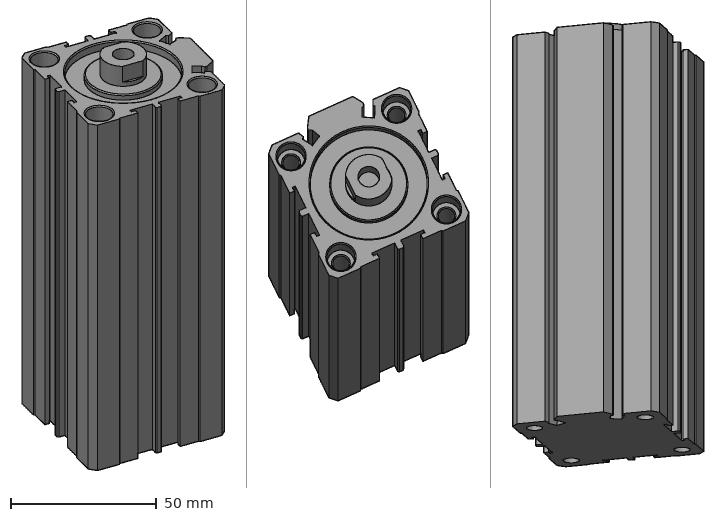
import cadquery as cq

TOTAL_HEIGHT = 146.5
HOUSING_HEIGHT = 139.5

HOUSING_WIDTH = 53.0
HALF_WIDTH = HOUSING_WIDTH / 2
CORNER_CHAMFER = 2.3

RAIL_TOP_Y = 30.5
RAIL_TOP_HALF_WIDTH = 8.4
RAIL_LIP_HALF_WIDTH = 10.5
RAIL_HALF_OUTLINE = [
    (14.0, HALF_WIDTH),
    (13.2, 24.6),
    (13.8, 24.0),
    (11.7, 20.4),
    (8.0, 22.4),
    (9.4, 25.3),
    (RAIL_LIP_HALF_WIDTH, 26.1),
    (RAIL_LIP_HALF_WIDTH, 27.0),
    (RAIL_TOP_HALF_WIDTH, RAIL_TOP_Y),
]

RELIEF_DEPTH = 0.5
RELIEF_FLOOR_WIDTH = 30.5
RELIEF_MOUTH_WIDTH = 31.4
SLOT_DEPTH = 3.2
SLOT_OPENING_WIDTH = 16.4
SLOT_UNDERCUT_WIDTH = 19.5
SLOT_UNDERCUT_HEIGHT = 1.0
SLOT_RIB_WIDTH = 2.3
SLOT_RIB_TIP_CHAMFER = 0.5
SLOT_SIDE_ANGLES = [0, 90, -90]

MOUNT_SPACING = 40.0
MOUNT_HOLE_DIAMETER = 5.5
MOUNT_HOLE_CHAMFER = 0.5
COUNTERBORE_DIAMETER = 9.5
COUNTERBORE_DEPTH = 7.3
COUNTERBORE_CHAMFER = 0.5

RECESS_DIAMETER = 40.1
RECESS_DEPTH = 3.2
RECESS_CHAMFER = 0.5
COLLAR_DIAMETER = 26.8
COLLAR_DROP = 1.0
COLLAR_CHAMFER = 0.5
COLLAR_TOP_Z = HOUSING_HEIGHT - COLLAR_DROP

ROD_DIAMETER = 16.0
ROD_FLATS_WIDTH = 13.9
ROD_FLATS_HEIGHT = 6.3
ROD_HOLE_DIAMETER = 7.3
ROD_HOLE_DEPTH = ROD_FLATS_HEIGHT


def housing_blank():
    """Extruded square with chamfered corners and the dovetail rail."""
    chamfer_start = HALF_WIDTH - CORNER_CHAMFER
    right_side = [
        (chamfer_start, -HALF_WIDTH),
        (HALF_WIDTH, -chamfer_start),
        (HALF_WIDTH, chamfer_start),
        (chamfer_start, HALF_WIDTH),
    ] + RAIL_HALF_OUTLINE
    left_side = [(-x, y) for x, y in reversed(right_side)]
    return cq.Workplane("XY").polyline(right_side + left_side).close().extrude(HOUSING_HEIGHT)


def sensor_slot():
    """Full-height cutter for the -Y side: shallow relief and T-slot around a central rib."""
    face_y = -HALF_WIDTH
    relief_y = face_y + RELIEF_DEPTH
    floor_y = face_y + SLOT_DEPTH
    undercut_y = floor_y - SLOT_UNDERCUT_HEIGHT
    rib_half = SLOT_RIB_WIDTH / 2
    right_side = [
        (RELIEF_MOUTH_WIDTH / 2, face_y),
        (RELIEF_FLOOR_WIDTH / 2, relief_y),
        (SLOT_OPENING_WIDTH / 2, relief_y),
        (SLOT_OPENING_WIDTH / 2, undercut_y),
        (SLOT_UNDERCUT_WIDTH / 2, undercut_y),
        (SLOT_UNDERCUT_WIDTH / 2, floor_y),
        (rib_half, floor_y),
        (rib_half, relief_y + SLOT_RIB_TIP_CHAMFER),
        (rib_half - SLOT_RIB_TIP_CHAMFER, relief_y),
    ]
    left_side = [(-x, y) for x, y in reversed(right_side)]
    return cq.Workplane("XY").polyline(right_side + left_side).close().extrude(HOUSING_HEIGHT)


def mounting_holes():
    """Cutters for the four counterbored through holes, chamfered at the mouth and at the step."""
    step_z = HOUSING_HEIGHT - COUNTERBORE_DEPTH
    hole_radius = MOUNT_HOLE_DIAMETER / 2
    bore_radius = COUNTERBORE_DIAMETER / 2
    half_section = [
        (0, 0),
        (hole_radius, 0),
        (hole_radius, step_z - MOUNT_HOLE_CHAMFER),
        (hole_radius + MOUNT_HOLE_CHAMFER, step_z),
        (bore_radius, step_z),
        (bore_radius, HOUSING_HEIGHT - COUNTERBORE_CHAMFER),
        (bore_radius + COUNTERBORE_CHAMFER, HOUSING_HEIGHT),
        (0, HOUSING_HEIGHT),
    ]
    hole = cq.Workplane("XZ").polyline(half_section).close().revolve(360, (0, 0, 0), (0, 1, 0)).val()
    half_spacing = MOUNT_SPACING / 2
    return [
        hole.translate(cq.Vector(x, y, 0))
        for x in (-half_spacing, half_spacing)
        for y in (-half_spacing, half_spacing)
    ]


def collar_recess():
    """Ring-shaped cutter that leaves the chamfered rod collar standing in the top recess."""
    recess_floor_z = HOUSING_HEIGHT - RECESS_DEPTH
    recess_radius = RECESS_DIAMETER / 2
    collar_radius = COLLAR_DIAMETER / 2
    half_section = [
        (0, HOUSING_HEIGHT),
        (0, COLLAR_TOP_Z),
        (collar_radius - COLLAR_CHAMFER, COLLAR_TOP_Z),
        (collar_radius, COLLAR_TOP_Z - COLLAR_CHAMFER),
        (collar_radius, recess_floor_z),
        (recess_radius, recess_floor_z),
        (recess_radius, HOUSING_HEIGHT - RECESS_CHAMFER),
        (recess_radius + RECESS_CHAMFER, HOUSING_HEIGHT),
    ]
    return cq.Workplane("XZ").polyline(half_section).close().revolve(360, (0, 0, 0), (0, 1, 0))


def make_housing():
    housing = housing_blank()
    for angle in SLOT_SIDE_ANGLES:
        housing = housing.cut(sensor_slot().rotate((0, 0, 0), (0, 0, 1), angle))
    for hole in mounting_holes():
        housing = housing.cut(cq.Workplane(hole))
    return housing.cut(collar_recess())


def make_rod():
    """Rod end that stands on the collar, with two wrench flats and a blind end hole."""
    flats_z = TOTAL_HEIGHT - ROD_FLATS_HEIGHT
    shank = (
        cq.Workplane("XY")
        .workplane(offset=COLLAR_TOP_Z)
        .circle(ROD_DIAMETER / 2)
        .extrude(flats_z - COLLAR_TOP_Z)
    )
    flats = cq.Workplane("XY").box(
        ROD_FLATS_WIDTH, ROD_DIAMETER, ROD_FLATS_HEIGHT, centered=(True, True, False)
    )
    flatted_end = cq.Workplane("XY").circle(ROD_DIAMETER / 2).extrude(ROD_FLATS_HEIGHT).intersect(flats)
    rod = shank.union(flatted_end.translate((0, 0, flats_z)))
    return rod.faces(">Z").workplane().hole(ROD_HOLE_DIAMETER, ROD_HOLE_DEPTH)


housing = make_housing()
rod = make_rod()

result = cq.Compound.makeCompound([housing.val(), rod.val()])